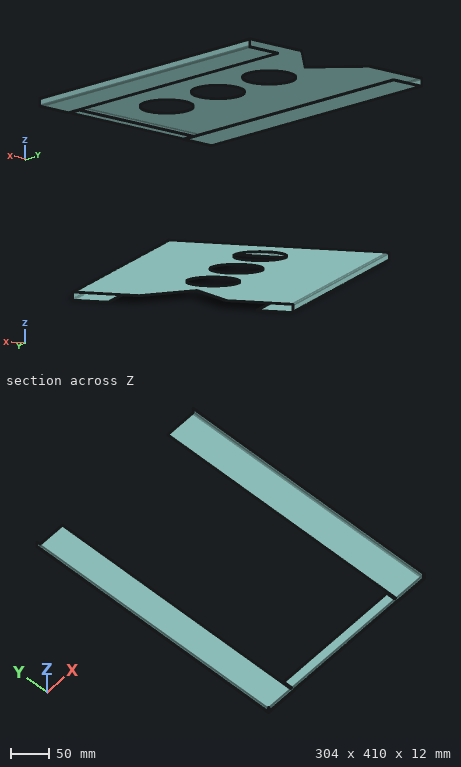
import cadquery as cq

width = 304.0
length = 410.0
height = 12.0
sheet = 1.0
bend_radius = 2.0
side_lip = 50.0
front_lip = 20.0
front_lip_width = 200.0
notch_depth = 60.0
hole_diameter = 70.0
hole_pitch = 100.0
first_hole_y = -125.0
hole_count = 3

front = -length / 2
flat_width = width - 2 * bend_radius


def make_block(size_x, size_y, size_z, y_start, z_start):
    """Box centred in X, starting at the given Y and Z."""
    block = cq.Workplane("XY").box(size_x, size_y, size_z, centered=(True, False, False))
    return block.translate((0, y_start, z_start))


def make_side_folds():
    """Top sheet with both long sides folded down and inward, open below the middle."""
    outer = make_block(width, length, height, front, 0).edges("|Y").fillet(bend_radius)
    inner = make_block(width - 2 * sheet, length, height - 2 * sheet, front, sheet)
    inner = inner.edges("|Y").fillet(bend_radius - sheet)
    opening = make_block(width - 2 * side_lip, length, sheet, front, 0)
    front_gap = make_block(flat_width, bend_radius, height - sheet, front, sheet)
    return outer.cut(inner).cut(opening).cut(front_gap)


def make_front_fold():
    """Front flange with a narrower lip returning under the middle of the tray."""
    outer = make_block(flat_width, front_lip, height, front, 0)
    outer = outer.faces("<Y").edges("|X").fillet(bend_radius)
    inner = make_block(flat_width, front_lip, height - 2 * sheet, front + sheet, sheet)
    inner = inner.faces("<Y").edges("|X").fillet(bend_radius - sheet)
    fold = outer.cut(inner)

    lip_zone = make_block(front_lip_width, front_lip, height, front, 0)
    upper_zone = make_block(flat_width, front_lip, height / 2, front, height / 2)
    flange = make_block(flat_width, sheet, height / 2 - sheet, front, sheet)
    return fold.intersect(lip_zone.union(upper_zone)).union(flange.cut(lip_zone))


def make_notch():
    """Right-angled V through the rear edge of the top sheet."""
    rear = length / 2
    corners = [(-notch_depth, rear), (0, rear - notch_depth), (notch_depth, rear)]
    return cq.Workplane("XY").polyline(corners).close().extrude(height)


def make_holes():
    """Row of round holes on the centreline."""
    centers = [(0, first_hole_y + i * hole_pitch) for i in range(hole_count)]
    return cq.Workplane("XY").pushPoints(centers).circle(hole_diameter / 2).extrude(height)


result = make_side_folds().union(make_front_fold()).cut(make_notch()).cut(make_holes())